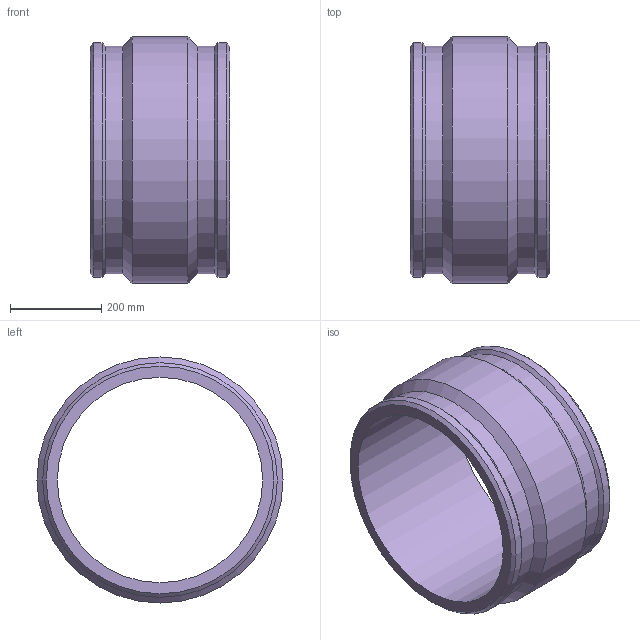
import cadquery as cq

LENGTH = 306.0
BORE_DIAMETER = 450.0
BODY_DIAMETER = 539.0
COLLAR_DIAMETER = 514.0
NECK_DIAMETER = 498.58

BODY_LENGTH = 122.6
COLLAR_LENGTH = 33.7

half_length = LENGTH / 2
bore_radius = BORE_DIAMETER / 2
body_radius = BODY_DIAMETER / 2
collar_radius = COLLAR_DIAMETER / 2
neck_radius = NECK_DIAMETER / 2

collar_bevel = collar_radius - neck_radius
body_bevel = body_radius - neck_radius

body_end = BODY_LENGTH / 2
shoulder_foot = body_end + body_bevel
collar_start = half_length - COLLAR_LENGTH


def outer_half_profile():
    """(x, radius) points from the body's edge out to the end face on the +X side."""
    return [
        (body_end, body_radius),
        (shoulder_foot, neck_radius),
        (collar_start, neck_radius),
        (collar_start + collar_bevel, collar_radius),
        (half_length - collar_bevel, collar_radius),
        (half_length, neck_radius),
    ]


def make_sleeve():
    """Revolve the mirrored profile, closed along the bore, about the X axis."""
    right_half = outer_half_profile()
    left_half = [(-x, radius) for x, radius in reversed(right_half)]
    bore_line = [(half_length, bore_radius), (-half_length, bore_radius)]
    profile = cq.Workplane("XY").polyline(left_half + right_half + bore_line).close()
    return profile.revolve(360, (0, 0, 0), (1, 0, 0))


result = make_sleeve()